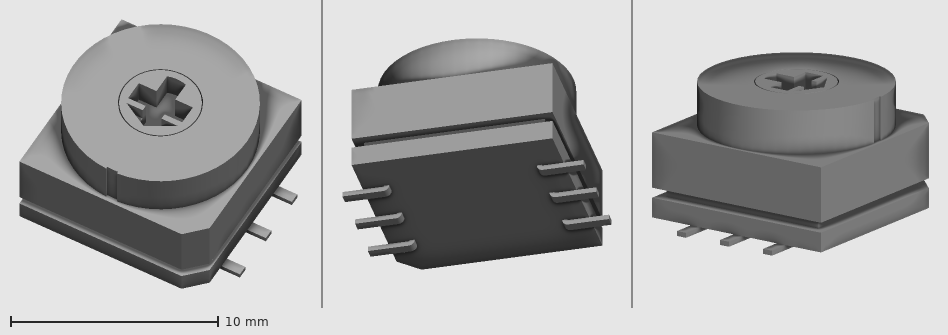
import cadquery as cq
import math

overall_length = 12.0
body_side = 10.0
corner_chamfer = 1.0

base_bottom = 0.3
base_height = 1.0
waist_height = 0.5
body_height = 2.8
knob_height = 2.21
waist_bottom = base_bottom + base_height
body_bottom = waist_bottom + waist_height
body_top = body_bottom + body_height
knob_top = body_top + knob_height
waist_inset = 0.5

knob_diameter = 9.6
notch_width = 0.6
notch_depth = 0.11

rotor_diameter = 4.0
groove_diameter = 4.1
groove_depth = 0.48

cross_width = 1.05
cross_span = 3.0
slot_tip_radius = 1.65
cross_depth = 1.3
arrow_depth = 0.66
arrow_edge_slope = math.radians(30)

lead_pitch = 2.55
lead_width = 0.53
lead_thickness = 0.25
lead_bend_outer_radius = base_bottom
lead_bend_inner_radius = lead_bend_outer_radius - lead_thickness
lead_inner_end = 3.67
lead_embedding = 0.24


def square_layer(inset, bottom, height):
    """Square layer with the +X -Y corner cut off, shrunk evenly by the inset."""
    half = body_side / 2
    outline = cq.Workplane("XY").workplane(offset=bottom).polyline([
        (-half, -half),
        (half - corner_chamfer, -half),
        (half, -half + corner_chamfer),
        (half, half),
        (-half, half),
    ]).close()
    if inset > 0:
        outline = outline.offset2D(-inset, kind="intersection")
    return outline.extrude(height)


def housing():
    """Base plate, recessed waist and main body."""
    base = square_layer(0, base_bottom, base_height)
    waist = square_layer(waist_inset, waist_bottom, waist_height)
    body = square_layer(0, body_bottom, body_height)
    return base.union(waist).union(body)


def knob():
    """Round knob with a full-height index notch on its -Y side."""
    level = cq.Workplane("XY").workplane(offset=body_top)
    disc = level.circle(knob_diameter / 2).extrude(knob_height)
    core = level.circle(knob_diameter / 2 - notch_depth).extrude(knob_height)
    strip = level.center(0, -knob_diameter / 2).rect(notch_width, knob_diameter / 2).extrude(knob_height)
    return disc.cut(strip.cut(core))


def rotor_groove():
    """Thin ring cut that sets the rotor face apart from the knob."""
    level = cq.Workplane("XY").workplane(offset=knob_top - groove_depth)
    return level.circle(groove_diameter / 2).circle(rotor_diameter / 2).extrude(groove_depth)


def cross_cut():
    """Cross slot: flat X arms, a rounded +Y arm and a pointed -Y arm."""
    level = cq.Workplane("XY").workplane(offset=knob_top - cross_depth)
    x_arms = level.rect(cross_span, cross_width).extrude(cross_depth)
    half_width = cross_width / 2
    shoulder_back = math.sqrt(slot_tip_radius**2 - half_width**2)
    shoulder_front = -slot_tip_radius + half_width * math.tan(arrow_edge_slope)
    y_arms = (
        level.moveTo(-half_width, shoulder_front)
        .lineTo(0, -slot_tip_radius)
        .lineTo(half_width, shoulder_front)
        .lineTo(half_width, shoulder_back)
        .threePointArc((0, slot_tip_radius), (-half_width, shoulder_back))
        .close()
        .extrude(cross_depth)
    )
    return x_arms.union(y_arms)


def arrow_cut():
    """Shallow arrow head whose corners lie on the slot tip circle."""
    half_base = slot_tip_radius * math.cos(arrow_edge_slope)
    base_y = -slot_tip_radius * math.sin(arrow_edge_slope)
    level = cq.Workplane("XY").workplane(offset=knob_top - arrow_depth)
    outline = level.polyline([(-half_base, base_y), (0, -slot_tip_radius), (half_base, base_y)])
    return outline.close().extrude(arrow_depth)


def lead(y):
    """Lead on the -X side: flat foot, rounded bend and a leg entering the base."""
    leg_top = base_bottom + lead_embedding
    bend_x = -lead_inner_end - lead_bend_outer_radius
    bend_z = lead_bend_outer_radius
    diagonal = math.sqrt(0.5)
    outer_mid = lead_bend_outer_radius * diagonal
    inner_mid = lead_bend_inner_radius * diagonal
    profile = (
        cq.Workplane("XZ", origin=(0, y, 0))
        .moveTo(-overall_length / 2, 0)
        .lineTo(bend_x, 0)
        .threePointArc((bend_x + outer_mid, bend_z - outer_mid), (-lead_inner_end, bend_z))
        .lineTo(-lead_inner_end, leg_top)
        .lineTo(-lead_inner_end - lead_thickness, leg_top)
        .lineTo(-lead_inner_end - lead_thickness, bend_z)
        .threePointArc((bend_x + inner_mid, bend_z - inner_mid), (bend_x, lead_thickness))
        .lineTo(-overall_length / 2, lead_thickness)
        .close()
    )
    return profile.extrude(lead_width / 2, both=True)


result = housing().union(knob())
result = result.cut(rotor_groove()).cut(cross_cut()).cut(arrow_cut())
for row in (-1, 0, 1):
    left_lead = lead(row * lead_pitch)
    result = result.union(left_lead).union(left_lead.mirror("YZ"))